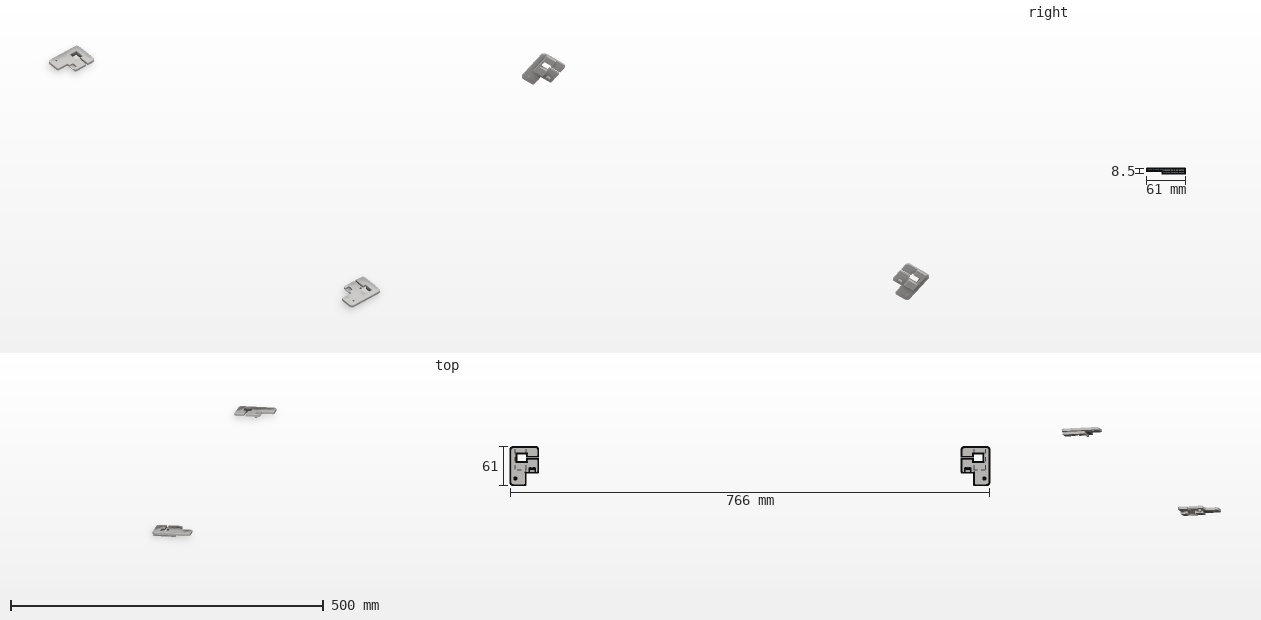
import cadquery as cq

TOTAL_SPAN = 766.0
DEPTH = 61.0
HEIGHT = 8.5

PLATE_THICKNESS = 4.2
ARM_WIDTH = 45.0
LEG_WIDTH = 25.0
ARM_FRONT_Y = -11.0
OUTER_CORNER_RADIUS = 5.1
ARM_BACK_CORNER_RADIUS = 4.8
FRONT_CORNER_RADIUS = 2.2
TOP_EDGE_FILLET = 0.9

PAD_OFFSET = 7.2
PAD_FRONT_Y = -5.9
PAD_RAIL_WIDTH = 3.15

WINDOW_OFFSET = PAD_OFFSET + PAD_RAIL_WIDTH
WINDOW_WIDTH = 16.0
WINDOW_FRONT_Y = 6.75
WINDOW_DEPTH = 13.0
SLOT_DEPTH = 3.0

HOLE_DIAMETER = 3.4
HOLE_OFFSET = 8.5
HOLE_Y = -20.0

NOTCH_GAP_TO_LEG = 4.9
NOTCH_WIDTH = 10.0
NOTCH_BACK_Y = -3.3
NOTCH_CUT_DEPTH = 3.15
HOOK_WIDTH = 6.0
HOOK_FRONT_Y = -5.3
HOOK_BACK_Y = -2.15
HOOK_FILLET = 1.15

OUTER_X = -TOTAL_SPAN / 2
BACK_Y = DEPTH / 2
FRONT_Y = -DEPTH / 2
TOP_Z = HEIGHT / 2
BOTTOM_Z = -HEIGHT / 2
PLATE_BOTTOM_Z = TOP_Z - PLATE_THICKNESS
WINDOW_BACK_Y = WINDOW_FRONT_Y + WINDOW_DEPTH
SLOT_FRONT_Y = (WINDOW_FRONT_Y + WINDOW_BACK_Y - SLOT_DEPTH) / 2
NOTCH_OFFSET = LEG_WIDTH + NOTCH_GAP_TO_LEG
HOOK_OFFSET = NOTCH_OFFSET + (NOTCH_WIDTH - HOOK_WIDTH) / 2


def block(offset, width, front_y, back_y, bottom_z, top_z):
    """Box of the left bracket, placed by its offset from the outer side."""
    box = cq.Workplane("XY").box(width, back_y - front_y, top_z - bottom_z, centered=False)
    return box.translate((OUTER_X + offset, front_y, bottom_z))


def window_cutter():
    """Window and the slot that opens it to the end of the arm."""
    window = block(WINDOW_OFFSET, WINDOW_WIDTH, WINDOW_FRONT_Y, WINDOW_BACK_Y, BOTTOM_Z, TOP_Z)
    slot_width = ARM_WIDTH - WINDOW_OFFSET
    slot_back_y = SLOT_FRONT_Y + SLOT_DEPTH
    slot = block(WINDOW_OFFSET, slot_width, SLOT_FRONT_Y, slot_back_y, BOTTOM_Z, TOP_Z)
    return window.union(slot)


def notch_cutter():
    """Notch in the top of the arm, open to the front."""
    floor_z = TOP_Z - NOTCH_CUT_DEPTH
    return block(NOTCH_OFFSET, NOTCH_WIDTH, ARM_FRONT_Y, NOTCH_BACK_Y, floor_z, TOP_Z)


def hole_cutter():
    """Round hole through the leg."""
    center = (OUTER_X + HOLE_OFFSET, HOLE_Y, BOTTOM_Z)
    return cq.Workplane("XY", origin=center).circle(HOLE_DIAMETER / 2).extrude(HEIGHT)


def plate_outline():
    """L-shaped plate with its upright corner edges rounded."""
    leg = block(0, LEG_WIDTH, FRONT_Y, BACK_Y, PLATE_BOTTOM_Z, TOP_Z)
    arm = block(0, ARM_WIDTH, ARM_FRONT_Y, BACK_Y, PLATE_BOTTOM_Z, TOP_Z)
    body = leg.union(arm).clean()
    body = body.edges("|Z and <X").fillet(OUTER_CORNER_RADIUS)
    body = body.edges("|Z and >X").edges(">Y").fillet(ARM_BACK_CORNER_RADIUS)
    body = body.edges("|Z and >X").edges("<Y").fillet(FRONT_CORNER_RADIUS)
    return body.faces("<Y").edges("|Z and >X").fillet(FRONT_CORNER_RADIUS)


def plate():
    """Plate with window, softened top edges, notch and hole."""
    opened = plate_outline().cut(window_cutter())
    softened = opened.faces(">Z").edges().fillet(TOP_EDGE_FILLET)
    return softened.cut(notch_cutter()).cut(hole_cutter())


def pad():
    """Pad on the underside of the plate, opened by the window."""
    pad_width = LEG_WIDTH - PAD_OFFSET
    base = block(PAD_OFFSET, pad_width, PAD_FRONT_Y, BACK_Y, BOTTOM_Z, PLATE_BOTTOM_Z)
    return base.cut(window_cutter())


def hook():
    """Hook under the arm, rounded along its lower front edge."""
    body = block(HOOK_OFFSET, HOOK_WIDTH, HOOK_FRONT_Y, HOOK_BACK_Y, BOTTOM_Z, PLATE_BOTTOM_Z)
    return body.edges("|X and <Y and <Z").fillet(HOOK_FILLET)


def left_bracket():
    """Complete bracket at the -X end."""
    return plate().union(pad()).union(hook()).solids()


left = left_bracket()
right = left.mirror("YZ").solids()

result = cq.Compound.makeCompound([left.val(), right.val()])